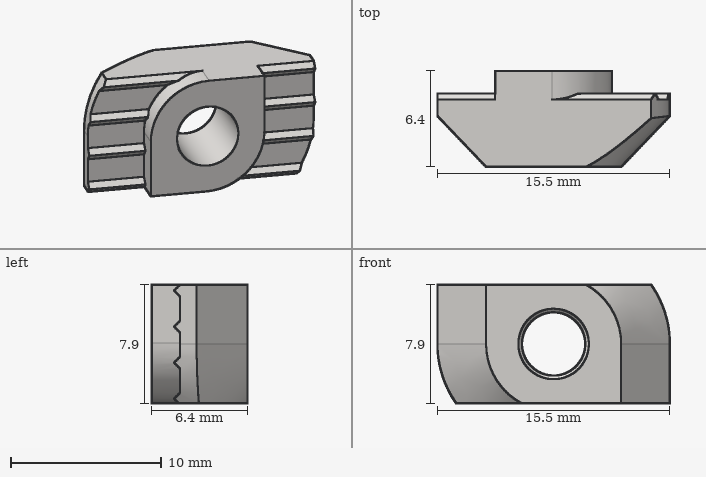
import cadquery as cq


head_length = 15.5
height = 7.9
head_depth = 4.5
rim_depth = 1.1
front_length = 9.0
corner_setback = 1.25

tooth_count = 4
tooth_pitch = 2.4
tooth_height = 0.4
tooth_width = 0.8

boss_length = 7.8
boss_height = 1.9
boss_corner_radius = 4.0

bore_diameter = 4.2
bore_chamfer = 0.25

half_length = head_length / 2
half_height = height / 2


def toothed_slab():
    """Head cross-section in YZ, with teeth spaced from the top edge, run along X."""
    slab = cq.Workplane("XY").box(head_length, head_depth, height).translate((0, -head_depth / 2, 0))
    for index in range(tooth_count):
        top = half_height - index * tooth_pitch
        tooth = (
            cq.Workplane("YZ", origin=(-half_length, 0, 0))
            .moveTo(0, top)
            .lineTo(tooth_height, top - tooth_width / 2)
            .lineTo(0, top - tooth_width)
            .close()
            .extrude(head_length)
        )
        slab = slab.union(tooth)
    return slab


def end_outline():
    """Head outline in XZ: two opposite corners rounded by arcs tangent to the ends at Z = 0."""
    radius = (corner_setback**2 + half_height**2) / (2 * corner_setback)
    corner_x = half_length - corner_setback
    return (
        cq.Workplane("XZ", origin=(0, tooth_height, 0))
        .moveTo(-half_length, 0)
        .lineTo(-half_length, half_height)
        .lineTo(corner_x, half_height)
        .radiusArc((half_length, 0), radius)
        .lineTo(half_length, -half_height)
        .lineTo(-corner_x, -half_height)
        .radiusArc((-half_length, 0), radius)
        .close()
        .extrude(head_depth + tooth_height)
    )


def half_flank_profile(side):
    """Half of the tapered XY profile, on the +X side (side = 1) or the -X side (side = -1)."""
    return (
        cq.Workplane("XY")
        .moveTo(0, -head_depth)
        .lineTo(side * front_length / 2, -head_depth)
        .lineTo(side * half_length, -rim_depth)
        .lineTo(side * half_length, tooth_height)
        .lineTo(0, tooth_height)
        .close()
    )


def sloped_flanks():
    """Flat slopes at the two square corners, joined by a cone about Y at the rounded ones."""
    cone = half_flank_profile(side=1).revolve(360, (0, 0, 0), (0, 1, 0))
    lower_right = half_flank_profile(side=1).extrude(-half_height)
    upper_left = half_flank_profile(side=-1).extrude(half_height)
    return cone.union(lower_right).union(upper_left)


def guide_boss():
    """Boss standing on the shoulder, rounded at the same two corners as the head."""
    radius = boss_corner_radius
    half_boss = boss_length / 2
    return (
        cq.Workplane("XZ", origin=(0, boss_height, 0))
        .moveTo(-half_boss, half_height)
        .lineTo(half_boss - radius, half_height)
        .radiusArc((half_boss, half_height - radius), radius)
        .lineTo(half_boss, -half_height)
        .lineTo(radius - half_boss, -half_height)
        .radiusArc((-half_boss, radius - half_height), radius)
        .close()
        .extrude(boss_height)
    )


def bore():
    """Through bore, chamfered at the front face."""
    radius = bore_diameter / 2
    return (
        cq.Workplane("XY")
        .moveTo(0, -head_depth)
        .lineTo(radius + bore_chamfer, -head_depth)
        .lineTo(radius, -head_depth + bore_chamfer)
        .lineTo(radius, boss_height)
        .lineTo(0, boss_height)
        .close()
        .revolve(360, (0, 0, 0), (0, 1, 0))
    )


head = toothed_slab().intersect(end_outline()).intersect(sloped_flanks())
result = head.union(guide_boss()).cut(bore())